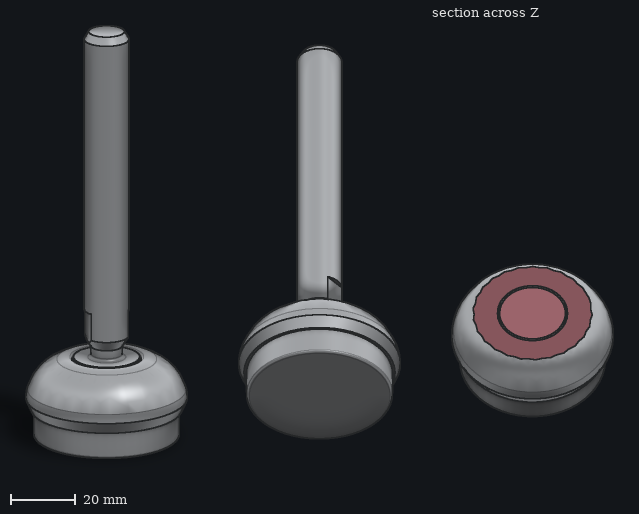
import cadquery as cq
import math

OVERALL_HEIGHT = 132.0
CREST_TOP = 25.9
FOOT_TOP = 25.7
RECESS_FLOOR = 21.9

SHAFT_RADIUS = 14.0 / 2
TIP_RADIUS = 5.5
TIP_CHAMFER_HEIGHT = 2.5
SHAFT_BOTTOM = 32.7
NECK_RADIUS = 9.6 / 2
NECK_TOP = 29.3
NECK_FILLET = 1.0
FOOT_RADIUS = 20.5 / 2
FLAT_TOP = 41.3
FLAT_SPACING = 12.0

PAD_RADIUS = 50.0 / 2
BASE_RADIUS = 22.6
BASE_FILLET = 0.8
SKIRT_RADIUS = 23.4
SKIRT_BOTTOM = 8.7
SKIRT_TOP = 12.4
BAND_RADIUS = 24.5
BAND_TOP = 15.3
DOME_TOP_RADIUS = 15.5
DOME_TOP = 25.1
DOME_BULGE = 1.6
RECESS_RADIUS = 21.5 / 2
CREST_RADIUS = 12.3
RIM_ROUND = 0.7


def make_stem():
    """Plain round rod with a neck, a foot disc and two wrench flats."""
    profile = (
        cq.Workplane("XZ")
        .moveTo(0, RECESS_FLOOR)
        .lineTo(FOOT_RADIUS, RECESS_FLOOR)
        .lineTo(FOOT_RADIUS, FOOT_TOP)
        .lineTo(NECK_RADIUS + NECK_FILLET, FOOT_TOP)
        .radiusArc((NECK_RADIUS, FOOT_TOP + NECK_FILLET), NECK_FILLET)
        .lineTo(NECK_RADIUS, NECK_TOP)
        .lineTo(SHAFT_RADIUS, SHAFT_BOTTOM)
        .lineTo(SHAFT_RADIUS, OVERALL_HEIGHT - TIP_CHAMFER_HEIGHT)
        .lineTo(TIP_RADIUS, OVERALL_HEIGHT)
        .lineTo(0, OVERALL_HEIGHT)
        .close()
    )
    stem = profile.revolve(360, (0, 0, 0), (0, 1, 0))

    cutter_size = 2 * SHAFT_RADIUS
    cutter_height = FLAT_TOP - NECK_TOP
    for side in (-1, 1):
        cutter = cq.Workplane("XY").box(cutter_size, cutter_size, cutter_height).translate(
            (0, side * (FLAT_SPACING + cutter_size) / 2, FLAT_TOP - cutter_height / 2)
        )
        stem = stem.cut(cutter)
    return stem


def dome_midpoint():
    """Point of the dome arc that lies furthest outside its chord."""
    run = BAND_RADIUS - DOME_TOP_RADIUS
    drop = DOME_TOP - BAND_TOP
    chord = math.hypot(run, drop)
    radius = (BAND_RADIUS + DOME_TOP_RADIUS) / 2 + DOME_BULGE * drop / chord
    height = (BAND_TOP + DOME_TOP) / 2 + DOME_BULGE * run / chord
    return radius, height


def make_pad():
    """Domed foot pad with a recess that holds the stem's foot disc."""
    shoulder_width = DOME_TOP_RADIUS - CREST_RADIUS
    shoulder_drop = CREST_TOP - DOME_TOP
    shoulder_radius = (shoulder_width**2 + shoulder_drop**2) / (2 * shoulder_drop)
    mouth_radius = RECESS_RADIUS + RIM_ROUND
    mouth_inset = CREST_RADIUS - mouth_radius
    mouth_height = CREST_TOP - shoulder_radius + math.sqrt(shoulder_radius**2 - mouth_inset**2)
    band_height = BAND_TOP - SKIRT_TOP
    band_inset = PAD_RADIUS - BAND_RADIUS
    band_arc_radius = (band_height**2 + band_inset**2) / (2 * band_inset)
    profile = (
        cq.Workplane("XZ")
        .lineTo(BASE_RADIUS - BASE_FILLET, 0)
        .radiusArc((BASE_RADIUS, BASE_FILLET), -BASE_FILLET)
        .lineTo(BASE_RADIUS, SKIRT_BOTTOM)
        .lineTo(SKIRT_RADIUS, SKIRT_BOTTOM)
        .lineTo(PAD_RADIUS, SKIRT_TOP)
        .radiusArc((BAND_RADIUS, BAND_TOP), -band_arc_radius)
        .threePointArc(dome_midpoint(), (DOME_TOP_RADIUS, DOME_TOP))
        .radiusArc((mouth_radius, mouth_height), -shoulder_radius)
        .radiusArc((RECESS_RADIUS, mouth_height - RIM_ROUND), -RIM_ROUND)
        .lineTo(RECESS_RADIUS, RECESS_FLOOR)
        .lineTo(0, RECESS_FLOOR)
        .close()
    )
    return profile.revolve(360, (0, 0, 0), (0, 1, 0))


stem = make_stem()
pad = make_pad()

result = cq.Compound.makeCompound([stem.val(), pad.val()])